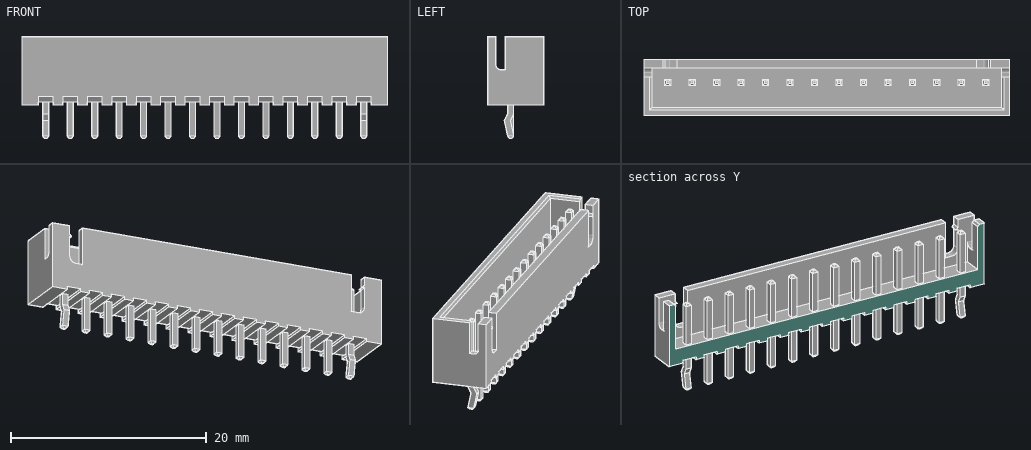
import cadquery as cq

LENGTH = 37.4
WIDTH = 5.75
HEIGHT = 7.0
TOTAL_HEIGHT = 10.4
FRONT = -WIDTH / 2
BACK = WIDTH / 2

WALL = 0.82
BACK_WALL = 0.85
RIM_BEVEL = 0.22
FLOOR = 1.87
CAVITY_LENGTH = LENGTH - 2 * WALL
CAVITY_FRONT = FRONT + WALL
CAVITY_BACK = BACK - BACK_WALL

POST_LENGTH = 1.95
END_SLOT_WIDTH = 0.95
END_SLOT_DEPTH = 3.35
END_SLOT_FILLET = 0.5
BACK_SLOT_WIDTH = 1.45
BACK_SLOT_DEPTH = 4.0
BACK_SLOT_FILLET = 0.7

BUMP_REACH = 0.22
BUMP_DROP = 0.9
BUMP_HEIGHT = 0.25

PIN_COUNT = 14
PIN_ROW_LENGTH = 32.5
PITCH = PIN_ROW_LENGTH / (PIN_COUNT - 1)
PIN_Y = FRONT + 3.4
PIN_SIZE = 0.65
PIN_TOP = 6.47
PIN_BOTTOM = HEIGHT - TOTAL_HEIGHT
PIN_TIP_INSET = 0.2
PIN_TIP_LENGTH = 0.22

KINK_START = -0.9
KINK_PEAK = -1.57
KINK_REACH = 0.35

GROOVE_WIDTH = 1.5
GROOVE_DEPTH = 0.3
GROOVE_FRONT_DEPTH = 0.9
GROOVE_RAMP_LENGTH = 0.37


def block(x_min, x_max, y_min, y_max, z_min, z_max):
    """Box between the given limits."""
    size = (x_max - x_min, y_max - y_min, z_max - z_min)
    return cq.Workplane("XY").box(*size, centered=False).translate((x_min, y_min, z_min))


def both_ends(left_solid):
    """The given left-end solid together with its mirror image at the right end."""
    return left_solid.union(left_solid.mirror("YZ"))


def cavity():
    """Open-topped pocket with a bevelled rim on the front and the two ends."""
    half = CAVITY_LENGTH / 2
    pocket = block(-half, half, CAVITY_FRONT, CAVITY_BACK, FLOOR, HEIGHT)
    rim_depth = CAVITY_BACK - CAVITY_FRONT
    bevel = (
        cq.Workplane("XY", origin=(0, (CAVITY_FRONT + CAVITY_BACK) / 2, HEIGHT))
        .rect(CAVITY_LENGTH + 2 * RIM_BEVEL, rim_depth + 2 * RIM_BEVEL)
        .workplane(offset=-RIM_BEVEL)
        .rect(CAVITY_LENGTH, rim_depth)
        .loft()
    )
    bevel = bevel.intersect(block(-LENGTH / 2, LENGTH / 2, FRONT, CAVITY_BACK, 0, HEIGHT))
    return pocket.union(bevel)


def end_slot():
    """Slot through the left end wall, rounded at the foot of the post."""
    slot = block(
        -LENGTH / 2, -CAVITY_LENGTH / 2,
        CAVITY_BACK - END_SLOT_WIDTH, CAVITY_BACK,
        HEIGHT - END_SLOT_DEPTH, HEIGHT,
    )
    return slot.edges("|X and >Y and <Z").fillet(END_SLOT_FILLET)


def back_slot():
    """Slot through the back wall beside the left post, leaving the latch bump on the post."""
    post_side = -LENGTH / 2 + POST_LENGTH
    slot = block(
        post_side, post_side + BACK_SLOT_WIDTH,
        CAVITY_BACK, BACK,
        HEIGHT - BACK_SLOT_DEPTH, HEIGHT,
    )
    slot = slot.edges("|Y and <X and <Z").fillet(BACK_SLOT_FILLET)
    bump_top = HEIGHT - BUMP_DROP
    bump_bottom = bump_top - BUMP_HEIGHT
    bump = (
        cq.Workplane("XZ", origin=(0, BACK, 0))
        .moveTo(post_side, bump_top)
        .lineTo(post_side + BUMP_REACH, bump_bottom)
        .lineTo(post_side, bump_bottom)
        .close()
        .extrude(BACK_WALL)
    )
    return slot.cut(bump)


def pin(x, kink):
    """Square contact with tapered tips; kink bows its tail towards the back."""
    half = PIN_SIZE / 2
    tip = half - PIN_TIP_INSET
    tail = PIN_BOTTOM + PIN_TIP_LENGTH
    head = PIN_TOP - PIN_TIP_LENGTH
    shaft = (
        cq.Workplane("YZ", origin=(-half, 0, 0))
        .moveTo(-half, head)
        .lineTo(-half, KINK_START)
        .lineTo(-half + kink, KINK_PEAK)
        .lineTo(-half, tail)
        .lineTo(half, tail)
        .lineTo(half + kink, KINK_PEAK)
        .lineTo(half, KINK_START)
        .lineTo(half, head)
        .close()
        .extrude(PIN_SIZE)
    )
    for base, length in ((head, PIN_TIP_LENGTH), (tail, -PIN_TIP_LENGTH)):
        taper = (
            cq.Workplane("XY", origin=(0, 0, base))
            .rect(2 * half, 2 * half)
            .workplane(offset=length)
            .rect(2 * tip, 2 * tip)
            .loft()
        )
        shaft = shaft.union(taper)
    return shaft.translate((x, PIN_Y, 0))


def groove(x):
    """Shallow groove across the underside, ramping deeper towards the front."""
    return (
        cq.Workplane("YZ", origin=(x - GROOVE_WIDTH / 2, 0, 0))
        .moveTo(FRONT, 0)
        .lineTo(FRONT, GROOVE_FRONT_DEPTH)
        .lineTo(FRONT + GROOVE_RAMP_LENGTH, GROOVE_DEPTH)
        .lineTo(BACK, GROOVE_DEPTH)
        .lineTo(BACK, 0)
        .close()
        .extrude(GROOVE_WIDTH)
    )


housing = block(-LENGTH / 2, LENGTH / 2, FRONT, BACK, 0, HEIGHT)
housing = housing.cut(cavity()).cut(both_ends(end_slot())).cut(both_ends(back_slot()))

pin_positions = [i * PITCH - PIN_ROW_LENGTH / 2 for i in range(PIN_COUNT)]
for position in pin_positions:
    housing = housing.cut(groove(position))

result = housing
for i, position in enumerate(pin_positions):
    is_end_pin = i in (0, PIN_COUNT - 1)
    result = result.union(pin(position, KINK_REACH if is_end_pin else 0))